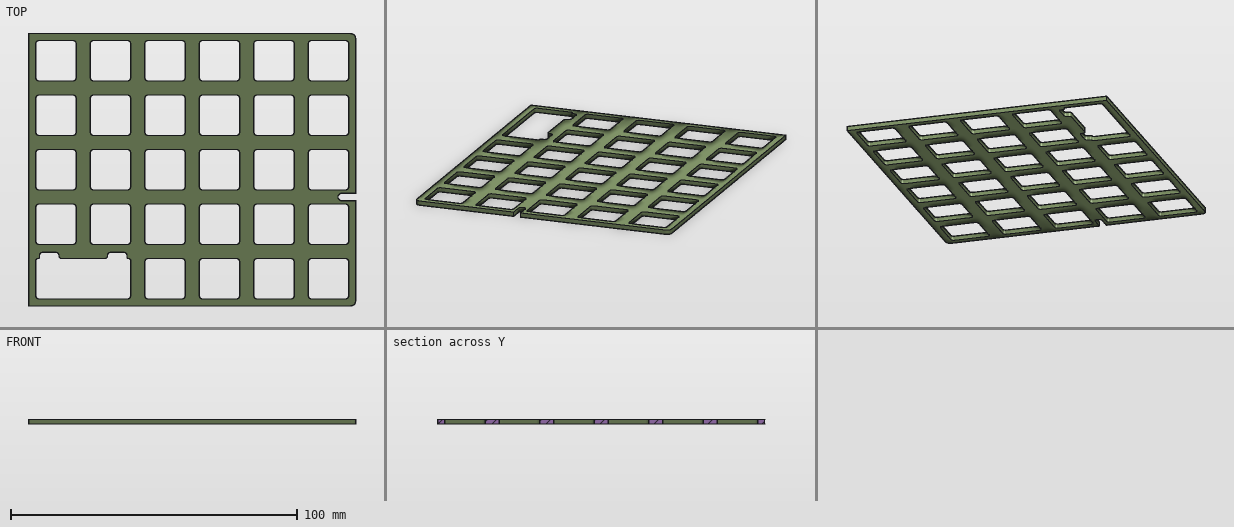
import cadquery as cq

COLUMNS = 6
ROWS = 5
PLATE_LENGTH = 114.3
PITCH = PLATE_LENGTH / COLUMNS
PLATE_WIDTH = PITCH * ROWS
THICKNESS = 1.6
PLATE_CORNER_RADIUS = 1.8

WEB = 5.0
OPENING = PITCH - WEB
OPENING_RADIUS = 1.0

WIDE_OPENING = OPENING + PITCH
POCKET_OFFSET = 11.9
POCKET_WIDTH = 6.7
POCKET_RISE = 2.2
POCKET_RADIUS = 1.0
OUTER_SHOULDER_RADIUS = 0.6
INNER_SHOULDER_RADIUS = 1.0
SELECTION_MARGIN = 0.1

NOTCH_WIDTH = 2.5
NOTCH_DEPTH = 6.2
NOTCH_ROWS_BELOW = 2


def cell_center(column, row):
    """Center of a grid cell, counted from the lower left corner of the plate."""
    return ((column + 0.5) * PITCH, (row + 0.5) * PITCH)


def make_plate():
    """Flat plate with its lower left corner at the origin and rounded right corners."""
    plate = cq.Workplane("XY").box(PLATE_LENGTH, PLATE_WIDTH, THICKNESS, centered=False)
    return plate.edges("|Z and >X").fillet(PLATE_CORNER_RADIUS)


def make_key_openings():
    """Square openings in every cell except the two under the wide opening."""
    wide_cells = [(0, 0), (1, 0)]
    centers = [
        cell_center(column, row)
        for column in range(COLUMNS)
        for row in range(ROWS)
        if (column, row) not in wide_cells
    ]
    openings = cq.Workplane("XY").pushPoints(centers).rect(OPENING, OPENING).extrude(THICKNESS)
    return openings.edges("|Z").fillet(OPENING_RADIUS)


def make_wide_opening():
    """Double-width opening whose upper side steps up into two pockets."""
    center_x = PITCH
    center_y = PITCH / 2
    half_height = OPENING / 2
    opening = cq.Workplane("XY").center(center_x, center_y).rect(WIDE_OPENING, OPENING).extrude(THICKNESS)

    pocket_height = half_height + POCKET_RISE
    pocket_centers = [(side * POCKET_OFFSET, pocket_height / 2) for side in (-1, 1)]
    pockets = (
        cq.Workplane("XY")
        .center(center_x, center_y)
        .pushPoints(pocket_centers)
        .rect(POCKET_WIDTH, pocket_height)
        .extrude(THICKNESS)
    )
    opening = opening.union(pockets)

    opening = opening.edges("|Z and >Y").fillet(POCKET_RADIUS)
    opening = opening.edges("|Z and <Y").fillet(OPENING_RADIUS)

    shoulder_y = center_y + half_height
    left_pocket_x = center_x - POCKET_OFFSET
    right_pocket_x = center_x + POCKET_OFFSET
    shoulders = [
        (0, left_pocket_x, OUTER_SHOULDER_RADIUS),
        (left_pocket_x, right_pocket_x, INNER_SHOULDER_RADIUS),
        (right_pocket_x, 2 * PITCH, OUTER_SHOULDER_RADIUS),
    ]
    for start_x, end_x, radius in shoulders:
        corners = cq.selectors.BoxSelector(
            (start_x, shoulder_y - SELECTION_MARGIN, 0),
            (end_x, shoulder_y + SELECTION_MARGIN, THICKNESS),
        )
        opening = opening.edges("|Z").edges(corners).fillet(radius)
    return opening


def make_notch():
    """Slot open at the right edge; its other rounded end lies outside the plate."""
    notch_center = (PLATE_LENGTH, NOTCH_ROWS_BELOW * PITCH)
    return cq.Workplane("XY").center(*notch_center).slot2D(2 * NOTCH_DEPTH, NOTCH_WIDTH).extrude(THICKNESS)


result = make_plate().cut(make_key_openings()).cut(make_wide_opening()).cut(make_notch())